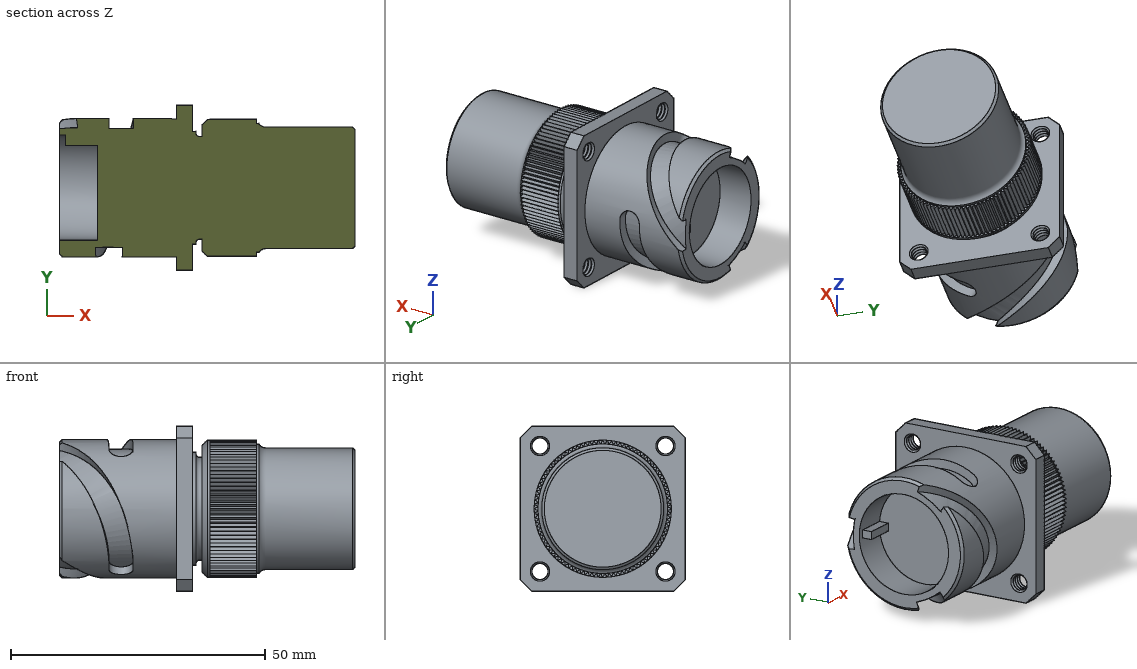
import cadquery as cq
import math

overall_length = 58.2
barrel_radius = 13.65
barrel_chamfer = 0.55

flange_front_x = 23.0
flange_thickness = 3.2
flange_back_x = flange_front_x + flange_thickness
flange_side = 32.51
flange_corner_chamfer = 2.3

pilot_radius = 11.15
pilot_length = 0.7
neck_radius = 10.15
neck_blend_radius = 0.7
neck_blend_end_x = flange_back_x + pilot_length + neck_blend_radius

collar_front_x = 28.05
collar_radius = 13.5
collar_chamfer = 1.05
collar_land = 0.55
knurl_front_x = collar_front_x + collar_chamfer + collar_land
knurl_length = 9.15
knurl_back_x = knurl_front_x + knurl_length

tail_radius = 12.0
tail_start_x = 40.6
tail_chamfer = 0.5
tail_blend_radius = 1.6
tail_blend_height = 0.75
tail_blend_angle = math.acos(1 - tail_blend_height / tail_blend_radius)
tail_blend_start_x = tail_start_x - tail_blend_radius * math.sin(tail_blend_angle)

half_plane = cq.Plane(origin=(0, 0, 0), xDir=(1, 0, 0), normal=(0, 0, -1))

tooth_count = 96
tooth_angle = 60.0
tooth_half_pitch = math.pi * collar_radius / tooth_count
tooth_depth = tooth_half_pitch / math.tan(math.radians(tooth_angle / 2))
knurl_root_radius = collar_radius - tooth_depth

knurl_core_overlap = 0.5
knurl_core_radius = knurl_root_radius - knurl_core_overlap

socket_radius = 10.35
socket_depth = 7.5
key_front_x = 1.2
key_width = 1.65
key_height = 2.05

hole_spacing = 24.7
hole_minor_radius = 1.57
thread_major_radius = 1.9
thread_pitch = 0.8
thread_count = round(flange_thickness / thread_pitch)

slot_count = 3
slot_width = 4.75
slot_floor_radius = 11.75
slot_sweep = 121.2
slot_end_x = 12.15
slot_curve_power = 2.4
slot_steps = 24
slot_lead_in = 0.12
slot_cutter_overshoot = 1.0
cutter_radius = barrel_radius + slot_cutter_overshoot


def make_shell():
    """Solid turned body, with a sunken band that the knurl fills."""
    blend_diagonal = neck_blend_radius * (1 - math.sqrt(0.5))
    tail_half_turn = tail_blend_angle / 2
    tail_mid_x = tail_start_x - tail_blend_radius * math.sin(tail_half_turn)
    tail_mid_radius = tail_radius + tail_blend_radius * (1 - math.cos(tail_half_turn))
    profile = (
        cq.Workplane(half_plane)
        .moveTo(0, 0)
        .lineTo(0, barrel_radius - barrel_chamfer)
        .lineTo(barrel_chamfer, barrel_radius)
        .lineTo(flange_back_x, barrel_radius)
        .lineTo(flange_back_x, pilot_radius)
        .lineTo(flange_back_x + pilot_length, pilot_radius)
        .lineTo(flange_back_x + pilot_length, neck_radius + neck_blend_radius)
        .threePointArc(
            (flange_back_x + pilot_length + blend_diagonal, neck_radius + blend_diagonal),
            (neck_blend_end_x, neck_radius),
        )
        .lineTo(collar_front_x, neck_radius)
        .lineTo(collar_front_x, collar_radius - collar_chamfer)
        .lineTo(collar_front_x + collar_chamfer, collar_radius)
        .lineTo(knurl_front_x, collar_radius)
        .lineTo(knurl_front_x, knurl_core_radius)
        .lineTo(knurl_back_x, knurl_core_radius)
        .lineTo(knurl_back_x, knurl_root_radius)
        .lineTo(tail_blend_start_x, tail_radius + tail_blend_height)
        .threePointArc((tail_mid_x, tail_mid_radius), (tail_start_x, tail_radius))
        .lineTo(overall_length - tail_chamfer, tail_radius)
        .lineTo(overall_length, tail_radius - tail_chamfer)
        .lineTo(overall_length, 0)
        .close()
    )
    return profile.revolve(360, (0, 0, 0), (1, 0, 0))


def make_knurl():
    points = []
    for half_tooth in range(2 * tooth_count):
        radius = collar_radius if half_tooth % 2 == 0 else knurl_root_radius
        angle = math.pi * half_tooth / tooth_count
        points.append((radius * math.cos(angle), radius * math.sin(angle)))
    return (
        cq.Workplane("YZ", origin=(knurl_front_x, 0, 0))
        .polyline(points)
        .close()
        .extrude(knurl_length)
    )


def make_flange():
    return (
        cq.Workplane("YZ", origin=(flange_front_x, 0, 0))
        .rect(flange_side, flange_side)
        .extrude(flange_thickness)
        .edges("|X")
        .chamfer(flange_corner_chamfer)
    )


def make_threaded_hole():
    profile = cq.Workplane("XY").moveTo(0, 0).lineTo(0, thread_major_radius)
    for turn in range(thread_count):
        start_x = turn * thread_pitch
        profile = profile.lineTo(start_x + thread_pitch / 2, hole_minor_radius)
        profile = profile.lineTo(start_x + thread_pitch, thread_major_radius)
    profile = profile.lineTo(flange_thickness, 0).close()
    return profile.revolve(360, (0, 0, 0), (1, 0, 0))


def slot_path_x(progress):
    """Distance along X of the slot centre line, levelling out as progress nears 1."""
    return slot_end_x * (1 - (1 - progress) ** slot_curve_power)


def slot_section(progress):
    """Four-sided cutter section square to the path, spanning slot floor to outside the barrel."""
    angle = math.radians(slot_sweep) * progress
    remaining = max(1 - progress, 0.0)
    rise = slot_end_x * slot_curve_power * remaining ** (slot_curve_power - 1)
    run = barrel_radius * math.radians(slot_sweep)
    lean = math.atan2(rise, run)
    centre = cq.Vector(slot_path_x(progress), 0, 0)
    outward = cq.Vector(0, math.cos(angle), math.sin(angle))
    around = cq.Vector(0, -math.sin(angle), math.cos(angle))
    across = cq.Vector(1, 0, 0) * math.cos(lean) - around * math.sin(lean)
    half = across * (slot_width / 2)
    floor = centre + outward * slot_floor_radius
    outside = centre + outward * cutter_radius
    return cq.Wire.makePolygon([floor - half, floor + half, outside + half, outside - half], close=True)


def make_slot_cutter():
    """Slot starting at +Y on the mating face and winding towards +Z."""
    step = (1 + slot_lead_in) / slot_steps
    sections = [slot_section(-slot_lead_in + step * index) for index in range(slot_steps + 1)]
    groove = cq.Workplane(obj=cq.Solid.makeLoft(sections, True).fix())
    end_angle = math.radians(slot_sweep)
    outward = cq.Vector(0, math.cos(end_angle), math.sin(end_angle))
    round_end = cq.Solid.makeCylinder(
        slot_width / 2,
        cutter_radius - slot_floor_radius,
        cq.Vector(slot_end_x, 0, 0) + outward * slot_floor_radius,
        outward,
    )
    return groove.union(cq.Workplane(obj=round_end))


def cut_slots(body):
    cutter = make_slot_cutter()
    for index in range(slot_count):
        body = body.cut(cutter.rotate((0, 0, 0), (1, 0, 0), 360 / slot_count * index))
    return body


def cut_flange_holes(body):
    hole = make_threaded_hole()
    for side_y in (-1, 1):
        for side_z in (-1, 1):
            place = (flange_front_x, side_y * hole_spacing / 2, side_z * hole_spacing / 2)
            body = body.cut(hole.translate(place))
    return body


def cut_socket(body):
    """Round socket that leaves the key standing on its +Y wall."""
    socket = cq.Workplane("YZ").circle(socket_radius).extrude(socket_depth)
    key_length = socket_depth - key_front_x
    key_centre_x = key_front_x + key_length / 2
    key = (
        cq.Workplane("XY")
        .box(key_length, 2 * key_height, key_width)
        .translate((key_centre_x, socket_radius, 0))
    )
    return body.cut(socket.cut(key))


result = make_shell()
result = cut_socket(result)
result = cut_slots(result)
result = result.union(make_knurl()).union(make_flange())
result = cut_flange_holes(result)